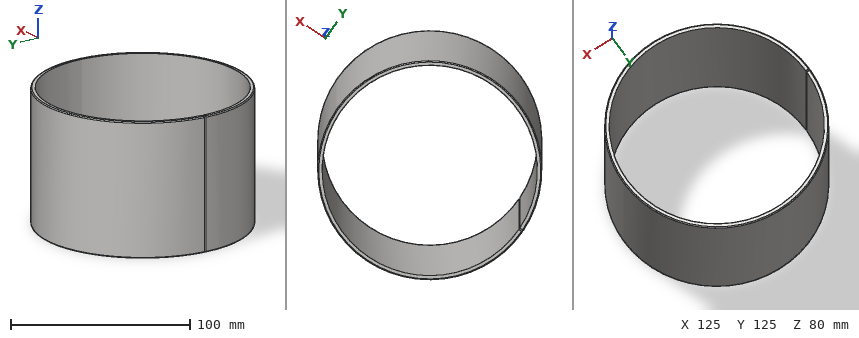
import cadquery as cq

outer_diameter = 125.0
wall = 2.5
height = 80.0
slit_width = 1.0
outer_chamfer = 0.6

outer_radius = outer_diameter / 2
inner_radius = outer_radius - wall

sleeve = (
    cq.Workplane("XY")
    .cylinder(height, outer_radius)
    .edges("%CIRCLE")
    .chamfer(outer_chamfer)
)
bore = cq.Workplane("XY").cylinder(height, inner_radius)

slit = (
    cq.Workplane("XY")
    .box(outer_radius, slit_width, height, centered=(False, False, True))
    .translate((-outer_radius, 0, 0))
)

result = sleeve.cut(bore).cut(slit)